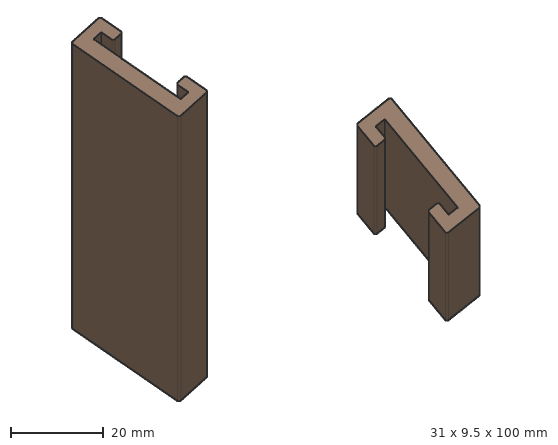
import cadquery as cq

width = 31.0
depth = 9.5
length = 100.0

wall = 3.0
floor = 4.0
lip_thickness = 3.0
opening = 18.0
edge_radius = 0.5

lip_underside = depth - lip_thickness
selection_margin = 0.01


def centered_block(x_size, y_start, y_end):
    """Full-length block, centred on X, spanning y_start to y_end."""
    block = cq.Workplane("XY").box(x_size, y_end - y_start, length, centered=(True, False, False))
    return block.translate((0, y_start, 0))


def round_lengthwise_edges(body, x, y):
    """Round the mirrored pair of lengthwise edges at +x and -x."""
    for edge_x in (-x, x):
        selector = cq.selectors.BoxSelector(
            (edge_x - selection_margin, y - selection_margin, 0),
            (edge_x + selection_margin, y + selection_margin, length),
        )
        body = body.edges("|Z").edges(selector).fillet(edge_radius)
    return body


channel = centered_block(width, 0, depth)
channel = channel.cut(centered_block(width - 2 * wall, floor, lip_underside))
channel = channel.cut(centered_block(opening, floor, depth))

for y in (0, depth):
    channel = round_lengthwise_edges(channel, width / 2, y)
for y in (lip_underside, depth):
    channel = round_lengthwise_edges(channel, opening / 2, y)

result = channel